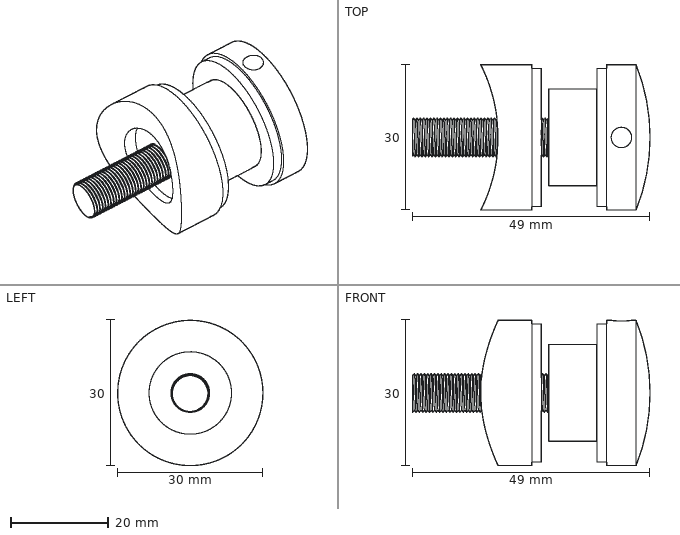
import cadquery as cq
import math

total_length = 49.0
head_diameter = 30.0

thread_diameter = 8.0
thread_depth = 0.4
stud_length = 45.25
spiral_intervals = 6
thread_start_angle = 240.0
turn_count = 65

saddle_throat_x = 17.65
saddle_back_x = 24.6
saddle_hollow_depth = 3.6
recess_diameter = 17.0
recess_floor_x = 19.3

gasket_diameter = 28.5
saddle_gasket_thickness = 1.95
cap_gasket_thickness = 2.0

sleeve_diameter = 20.0
sleeve_length = 10.0
sleeve_chamfer = 0.1

cap_rim_length = 6.1
dome_height = 2.9
tommy_hole_diameter = 4.2
tommy_hole_depth = 6.0
drill_point_angle = 118.0

thread_pitch = stud_length / turn_count
head_radius = head_diameter / 2
thread_radius = thread_diameter / 2
dome_base_x = total_length - dome_height
cap_face_x = dome_base_x - cap_rim_length
cap_gasket_x = cap_face_x - cap_gasket_thickness
sleeve_x = cap_gasket_x - sleeve_length
tommy_hole_x = cap_face_x + cap_rim_length / 2


def disc(start_x, length, diameter):
    """Solid cylinder along X."""
    return cq.Workplane("YZ", origin=(start_x, 0, 0)).circle(diameter / 2).extrude(length)


def ring(start_x, length, diameter):
    """Cylinder along X with a bore that the stud fills to its thread crests."""
    return disc(start_x, length, diameter).cut(disc(start_x, length, thread_diameter))


def thread_section_point(turn_fraction):
    """Point on the thread's cross-section; its radius falls evenly from crest to root and back."""
    angle = 2 * math.pi * turn_fraction
    radius = thread_radius - thread_depth * (1 - abs(1 - 2 * turn_fraction))
    return radius * math.cos(angle), radius * math.sin(angle)


def make_stud():
    """Right-hand V-thread, built as one closed shell from identical single turns.

    One turn is the heart-shaped cross-section twisted once about X. The section is
    two spirals that meet at the crest and at the root.
    """
    turn = (
        cq.Workplane("YZ")
        .transformed(rotate=(0, 0, thread_start_angle))
        .parametricCurve(thread_section_point, N=spiral_intervals, start=0, stop=0.5, makeWire=False)
        .parametricCurve(thread_section_point, N=spiral_intervals, start=0.5, stop=1, makeWire=False)
        .wire()
        .twistExtrude(thread_pitch, 360)
    )
    flanks = turn.faces("not %PLANE").vals()
    free_end = turn.faces("<X").val()
    shell_faces = [free_end, free_end.translate(cq.Vector(stud_length, 0, 0))]
    for turn_index in range(turn_count):
        offset = cq.Vector(turn_index * thread_pitch, 0, 0)
        shell_faces += [flank.translate(offset) for flank in flanks]
    return cq.Solid.makeSolid(cq.Shell.makeShell(shell_faces))


def make_saddle():
    """Washer hollowed by a cylinder along Z, with a round recess around the stud."""
    horn_x = saddle_throat_x - saddle_hollow_depth
    hollow_radius = (head_radius**2 + saddle_hollow_depth**2) / (2 * saddle_hollow_depth)
    hollow = (
        cq.Workplane("XY", origin=(saddle_throat_x - hollow_radius, 0, 0))
        .circle(hollow_radius)
        .extrude(head_radius, both=True)
    )
    recess = disc(horn_x, recess_floor_x - horn_x, recess_diameter)
    return ring(horn_x, saddle_back_x - horn_x, head_diameter).cut(hollow).cut(recess)


def make_gasket(start_x, thickness):
    return ring(start_x, thickness, gasket_diameter)


def make_sleeve():
    """Spacer with a small chamfer around the outside of both ends."""
    body = disc(sleeve_x, sleeve_length, sleeve_diameter).faces("<X or >X").chamfer(sleeve_chamfer)
    return body.cut(disc(sleeve_x, sleeve_length, thread_diameter))


def make_tommy_hole():
    """Drilled blind hole, pointing down from the top of the cap rim."""
    hole_radius = tommy_hole_diameter / 2
    cone_start_z = head_radius - tommy_hole_depth
    cone_height = hole_radius / math.tan(math.radians(drill_point_angle / 2))
    return (
        cq.Workplane("XZ", origin=(tommy_hole_x, 0, 0))
        .moveTo(0, head_radius)
        .lineTo(hole_radius, head_radius)
        .lineTo(hole_radius, cone_start_z)
        .lineTo(0, cone_start_z - cone_height)
        .close()
        .revolve(360, (0, 0, 0), (0, 1, 0))
    )


def make_cap():
    """Domed cap with a blind socket for the stud and a tommy-bar hole in its rim."""
    dome_radius = (head_radius**2 + dome_height**2) / (2 * dome_height)
    half_rise = head_radius / 2
    half_rise_x = total_length - dome_radius + math.sqrt(dome_radius**2 - half_rise**2)
    body = (
        cq.Workplane("XY")
        .moveTo(cap_face_x, 0)
        .lineTo(cap_face_x, head_radius)
        .lineTo(dome_base_x, head_radius)
        .threePointArc((half_rise_x, half_rise), (total_length, 0))
        .close()
        .revolve(360, (0, 0, 0), (1, 0, 0))
    )
    socket = disc(cap_face_x, stud_length - cap_face_x, thread_diameter)
    return body.cut(socket).cut(make_tommy_hole())


stud = make_stud()
saddle = make_saddle()
saddle_gasket = make_gasket(saddle_back_x, saddle_gasket_thickness)
sleeve = make_sleeve()
cap_gasket = make_gasket(cap_gasket_x, cap_gasket_thickness)
cap = make_cap()

result = cq.Compound.makeCompound(
    [
        stud,
        saddle.val(),
        saddle_gasket.val(),
        sleeve.val(),
        cap_gasket.val(),
        cap.val(),
    ]
)